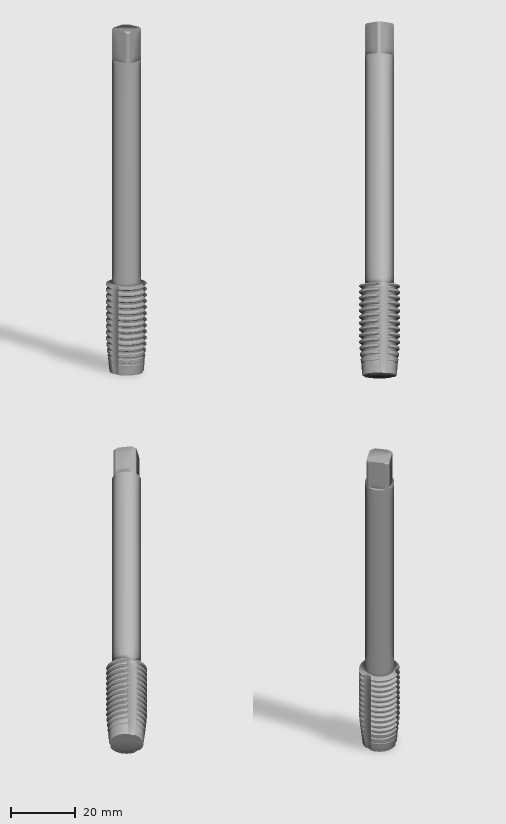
import cadquery as cq
import math

total_length = 110.0
head_length = 28.5

shank_radius = 4.5
square_side = 7.0
square_length = 10.0
end_chamfer = 0.4

crest_radius = 12.6 / 2
root_radius = 5.5
shoulder_drop = 0.4
tip_radius = 5.3

groove_count = 13
thread_length = 25.4
pitch = thread_length / groove_count
crest_flat = pitch / 4
first_groove_z = head_length - 0.75 * pitch
flank_angle = math.radians(30)
lead_length = 5 * pitch

flute_count = 3
flute_radius = 2.1
flute_floor_radius = 5.0
first_flute_angle = -90.0


def make_shank():
    """Round shank whose upper end is milled to a square that keeps round, chamfered corners."""
    shank = (
        cq.Workplane("XY", origin=(0, 0, head_length))
        .circle(shank_radius)
        .extrude(total_length - head_length)
        .faces(">Z")
        .chamfer(end_chamfer)
    )
    milled_ring = (
        cq.Workplane("XY", origin=(0, 0, total_length - square_length))
        .circle(2 * shank_radius)
        .rect(square_side, square_side)
        .extrude(square_length)
    )
    return shank.cut(milled_ring)


def head_blank():
    """Turned head: tapered lead, straight crest and a shallow conical shoulder."""
    return (
        cq.Workplane("YZ")
        .moveTo(0, 0)
        .lineTo(tip_radius, 0)
        .lineTo(crest_radius, lead_length)
        .lineTo(crest_radius, head_length - shoulder_drop)
        .lineTo(shank_radius, head_length)
        .lineTo(0, head_length)
        .close()
        .revolve(360, (0, 0, 0), (0, 1, 0))
    )


def thread_groove(center_z):
    """Ring with a tapered section that cuts one thread groove down to the root."""
    half_mouth = (pitch - crest_flat) / 2
    half_root = half_mouth - (crest_radius - root_radius) * math.tan(flank_angle)
    return (
        cq.Workplane("YZ")
        .moveTo(root_radius, center_z - half_root)
        .lineTo(crest_radius, center_z - half_mouth)
        .lineTo(crest_radius, center_z + half_mouth)
        .lineTo(root_radius, center_z + half_root)
        .close()
        .revolve(360, (0, 0, 0), (0, 1, 0))
    )


def flute(angle):
    """Round-bottomed flute, straight along the whole head."""
    return (
        cq.Workplane("XY")
        .center(flute_floor_radius + flute_radius, 0)
        .circle(flute_radius)
        .extrude(head_length)
        .rotate((0, 0, 0), (0, 0, 1), angle)
    )


def make_head():
    """Head blank with its thread grooves and flutes cut in."""
    head = head_blank()
    for index in range(groove_count):
        head = head.cut(thread_groove(first_groove_z - index * pitch))
    for index in range(flute_count):
        head = head.cut(flute(first_flute_angle + index * 360 / flute_count))
    return head


shank = make_shank()
head = make_head()

result = cq.Compound.makeCompound([*shank.solids().vals(), *head.solids().vals()])